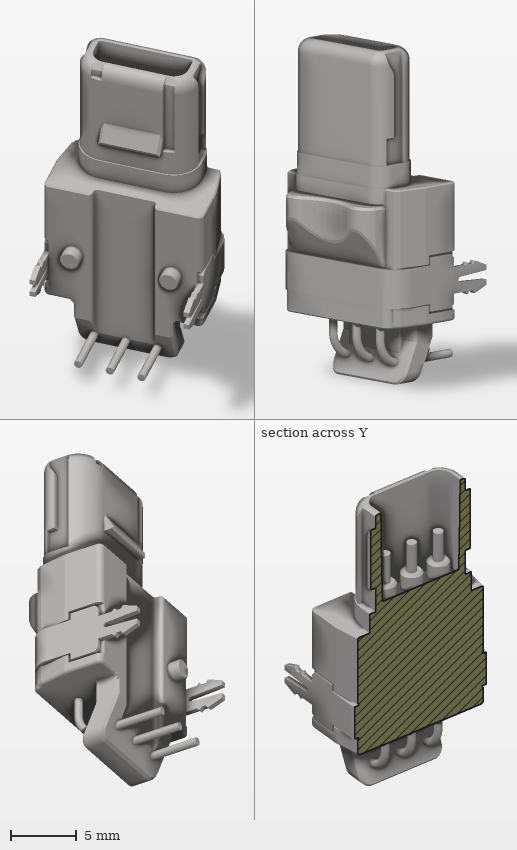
import cadquery as cq
import math

TOTAL_HEIGHT = 26.25
CLEAR = 10.0

BODY_HALF_WIDTH = 6.4
BODY_BOTTOM = 5.0
BODY_TOP = 15.74
BODY_BACK = 6.1
TAPER_START_Y = 3.3
TAPER_END_Y = 5.64
TAPER_DEPTH = 0.4
BACK_CORNER = 0.25
FRONT_CORNER_RADIUS = 0.45
TOP_CHAMFER = 0.1
BOTTOM_RADIUS = 0.25
LOWER_BACK_Y = 6.67
LOWER_BACK_HALF_WIDTH = 5.6
LOWER_BACK_CORNER = 0.6

CHANNEL_HALF_WIDTH = 2.5
CHANNEL_DEPTH = 0.75
CHANNEL_RADIUS = 0.27

LEG_HALF_WIDTH = 3.98
LEG_THICKNESS = 2.07
LEG_FRONT_KINK_Z = 3.4
LEG_BACK_KINK_Z = 3.25
LEG_TIP_FRONT_Y = 1.56
LEG_CORNER_RADIUS = 0.95
LEG_FLARE_RADIUS = 0.22
LEG_EDGE_CHAMFER = 0.2
LEG_RIB_HALF_WIDTH = 2.78
LEG_RIB_BACK = 2.52
LEG_RIB_BOTTOM = 1.9
LEG_RIB_RADIUS = 0.15

HOOD_HALF_WIDTH = 4.8
HOOD_FRONT = 2.21
HOOD_BACK = 6.6
HOOD_FRONT_RADIUS = 2.18
HOOD_BACK_RADIUS = 1.15
COLLAR_TOP = 17.46
COLLAR_OFFSET = 0.09
SKIRT_OFFSET = 0.15
SKIRT_BOTTOM = 14.55
CROWN_HEIGHT = 1.0
CROWN_INSET = 0.75
CAVITY_HALF_WIDTH = 3.8
CAVITY_FRONT = 3.25
CAVITY_BACK = 5.62
CAVITY_FRONT_RADIUS = 1.15
CAVITY_BACK_RADIUS = 0.2
CAVITY_DRAFT = 0.75

KEYWAY_INNER_X = 2.46
KEYWAY_OUTER_X = 3.36
KEYWAY_FLOOR_Y = 2.62
KEYWAY_BOTTOM = 19.6
KEYWAY_RIM_Y = 3.03
KEYWAY_RIM_DROP = 0.42
RECESS_FLOOR_X = 4.33
RECESS_FRONT = 3.93
RECESS_BACK = 5.14
RECESS_WIDE_BACK = 5.9
RECESS_TOP_BACK = 5.75
RECESS_FLARE_START = 24.2
RECESS_FLARE_END = 25.75

LATCH_HALF_WIDTH = 2.46
LATCH_BOTTOM = 19.6
LATCH_NOSE_Z = 19.85
LATCH_TOP = 21.16
LATCH_NOSE_Y = 1.42
LATCH_NOSE_SETBACK = 0.11
LATCH_BEVEL = 0.22

HORN_X = 3.35
HORN_Y = 6.56
HORN_RADIUS = 1.5
HORN_JOIN_X = 2.66
HORN_FLANK_Y = 7.1
SADDLE_Y = 7.18
THUMB_TOP = 14.4
THUMB_RAMP_TOP = 12.6
THUMB_RAMP_BOTTOM = 9.66
THUMB_RAMP_FOOT_Y = 6.25
THUMB_CHAMFER = 0.2
THUMB_RAMP_CHAMFER = 0.13

CLIP_THICKNESS = 0.45
CLIP_MID_Z = 8.1
BAND_BACK = 6.68
BAND_HALF_HEIGHT = 1.48
BAND_CORNER_RADIUS = 1.72
PLATE_REAR = 2.74
PLATE_FRONT = 0.3
PLATE_HALF_HEIGHT = 2.08
PLATE_CORNER = 0.3
PRONG_HALF_HEIGHT = 1.02
PRONG_TIP_Y = -3.18
BUMP_START_Y = -0.95
BUMP_CREST_Y = -1.15
BUMP_END_Y = -1.4
BUMP_HALF_HEIGHT = 1.24
BARB_START_Y = -1.75
BARB_CREST_Y = -1.93
BARB_HALF_HEIGHT = 1.27
TIP_OUTER_HEIGHT = 0.79
TIP_INNER_HEIGHT = 0.36
SLOT_END_Y = -0.2
SLOT_HALF_HEIGHT = 0.2
SLOT_END_CHAMFER = 0.1
POCKET_REAR = 2.97
POCKET_HALF_HEIGHT = 2.3
BAND_POCKET_HALF_HEIGHT = 1.6

CONTACT_PITCH = 2.54
CONTACT_COUNT = 3
CONTACT_Y = 4.4
TAIL_RADIUS = 0.325
TAIL_Z = 1.53
TAIL_BEND_RADIUS = 2.03
TAIL_END_Y = -3.1
CONTACT_BASE_RADIUS = 0.9
CONTACT_SHOULDER_RADIUS = 0.73
CONTACT_TIP_RADIUS = 0.41
CONTACT_BASE_HEIGHT = 1.5
CONTACT_TIP_Z = 21.5
PEG_X = 3.98
PEG_Z = 9.6
PEG_RADIUS = 0.75
PEG_LENGTH = 0.97
PEG_CHAMFER = 0.06


def box(x0, x1, y0, y1, z0, z1):
    """Axis-aligned box between two opposite corners."""
    return cq.Workplane("XY").box(x1 - x0, y1 - y0, z1 - z0, centered=False).translate((x0, y0, z0))


def side_prism(points, x0, x1):
    """Prism with a (Y, Z) outline, reaching from x0 to x1."""
    return cq.Workplane("YZ").workplane(offset=x0).polyline(points).close().extrude(x1 - x0)


def mirrored(shape):
    """The shape together with its mirror image across X = 0."""
    return shape.union(shape.mirror("YZ"))


def rounded_prism(half_width, front, back, front_radius, back_radius, z0, z1):
    """Upright prism with separate corner radii at its front and back."""
    prism = box(-half_width, half_width, front, back, z0, z1)
    prism = prism.edges("|Z and <Y").fillet(front_radius)
    return prism.edges("|Z and >Y").fillet(back_radius)


def hood_prism(offset, z0, z1):
    """Prism on the hood outline grown outward by an offset."""
    return rounded_prism(
        HOOD_HALF_WIDTH + offset, HOOD_FRONT - offset, HOOD_BACK + offset,
        HOOD_FRONT_RADIUS + offset, HOOD_BACK_RADIUS + offset, z0, z1,
    )


def housing():
    taper_x = BODY_HALF_WIDTH - TAPER_DEPTH
    half_outline = [
        (BODY_HALF_WIDTH, 0),
        (BODY_HALF_WIDTH, TAPER_START_Y),
        (taper_x, TAPER_END_Y),
        (taper_x - BACK_CORNER, BODY_BACK),
    ]
    outline = half_outline + [(-x, y) for x, y in reversed(half_outline)]
    body = cq.Workplane("XY").workplane(offset=BODY_BOTTOM).polyline(outline).close()
    body = body.extrude(BODY_TOP - BODY_BOTTOM)
    body = body.edges("|Z and <Y").fillet(FRONT_CORNER_RADIUS)
    body = body.faces(">Z").edges().chamfer(TOP_CHAMFER)
    body = body.faces("<Z").edges("not <Y").fillet(BOTTOM_RADIUS)
    lower_back = box(
        -LOWER_BACK_HALF_WIDTH, LOWER_BACK_HALF_WIDTH, TAPER_START_Y, LOWER_BACK_Y, BODY_BOTTOM, CLIP_MID_Z,
    )
    lower_back = lower_back.edges("|Z and >Y").fillet(LOWER_BACK_CORNER)
    lower_back = lower_back.faces("<Z").edges(">Y").chamfer(TOP_CHAMFER)
    return body.union(lower_back)


def leg():
    slope = LEG_TIP_FRONT_Y / LEG_FRONT_KINK_Z
    top = BODY_BOTTOM + BOTTOM_RADIUS
    profile = [
        (0, top),
        (0, LEG_FRONT_KINK_Z),
        (LEG_TIP_FRONT_Y, 0),
        (LEG_THICKNESS + slope * LEG_BACK_KINK_Z, 0),
        (LEG_THICKNESS, LEG_BACK_KINK_Z),
        (LEG_THICKNESS, top),
    ]
    bent = side_prism(profile, -LEG_HALF_WIDTH, LEG_HALF_WIDTH)
    envelope = box(-LEG_HALF_WIDTH, LEG_HALF_WIDTH, -CLEAR, CLEAR, 0, top)
    bent = bent.intersect(envelope.edges("|Y and <Z").fillet(LEG_CORNER_RADIUS))
    slope_middle_y = LEG_TIP_FRONT_Y / 2
    slope_middle_z = LEG_FRONT_KINK_Z / 2
    front_slope = cq.selectors.NearestToPointSelector((0, slope_middle_y, slope_middle_z))
    back_slope = cq.selectors.NearestToPointSelector((0, slope_middle_y + LEG_THICKNESS, slope_middle_z))
    rim = bent.edges("|Z")
    rim = rim.add(bent.faces(front_slope).edges("not >Z")).add(bent.faces(back_slope).edges("not >Z"))
    bent = rim.chamfer(LEG_EDGE_CHAMFER)
    rib = box(-LEG_RIB_HALF_WIDTH, LEG_RIB_HALF_WIDTH, CHANNEL_DEPTH, LEG_RIB_BACK, LEG_RIB_BOTTOM, top)
    rib = rib.edges("|Z and >Y").fillet(LEG_RIB_RADIUS)
    flare_z = BODY_BOTTOM - LEG_FLARE_RADIUS
    flare_bulge = LEG_FLARE_RADIUS * (1 - math.sqrt(0.5))
    flare = (
        cq.Workplane("XZ")
        .moveTo(LEG_HALF_WIDTH, flare_z)
        .threePointArc(
            (LEG_HALF_WIDTH + flare_bulge, BODY_BOTTOM - flare_bulge),
            (LEG_HALF_WIDTH + LEG_FLARE_RADIUS, BODY_BOTTOM),
        )
        .lineTo(LEG_HALF_WIDTH + LEG_FLARE_RADIUS, top)
        .lineTo(LEG_HALF_WIDTH - LEG_FLARE_RADIUS, top)
        .lineTo(LEG_HALF_WIDTH - LEG_FLARE_RADIUS, flare_z)
        .close()
        .extrude(LEG_EDGE_CHAMFER - LEG_THICKNESS)
    )
    return bent.union(rib).union(mirrored(flare))


def front_channel():
    """Tool for the channel: rounded at the floor and flared at the mouth."""
    half = CHANNEL_HALF_WIDTH
    r = CHANNEL_RADIUS
    bulge = r * (1 - math.sqrt(0.5))
    return (
        cq.Workplane("XY")
        .moveTo(-half - r, -CLEAR)
        .lineTo(-half - r, 0)
        .threePointArc((-half - bulge, bulge), (-half, r))
        .lineTo(-half, CHANNEL_DEPTH - r)
        .threePointArc((-half + bulge, CHANNEL_DEPTH - bulge), (-half + r, CHANNEL_DEPTH))
        .lineTo(half - r, CHANNEL_DEPTH)
        .threePointArc((half - bulge, CHANNEL_DEPTH - bulge), (half, CHANNEL_DEPTH - r))
        .lineTo(half, r)
        .threePointArc((half + bulge, bulge), (half + r, 0))
        .lineTo(half + r, -CLEAR)
        .close()
        .extrude(TOTAL_HEIGHT)
    )


def hood():
    """Hollow plug hood with a rounded crown, on its collar and skirt."""
    crown_radius = (CROWN_INSET**2 + CROWN_HEIGHT**2) / (2 * CROWN_INSET)
    full_top = TOTAL_HEIGHT - CROWN_HEIGHT + crown_radius
    shell = hood_prism(0, COLLAR_TOP, full_top)
    shell = shell.faces(">Z").edges().fillet(crown_radius)
    shell = shell.cut(box(-CLEAR, CLEAR, -CLEAR, CLEAR, TOTAL_HEIGHT, full_top + CLEAR))
    shell = shell.union(hood_prism(COLLAR_OFFSET, BODY_TOP, COLLAR_TOP))
    shell = shell.union(hood_prism(SKIRT_OFFSET, SKIRT_BOTTOM, BODY_TOP))
    cavity = rounded_prism(
        CAVITY_HALF_WIDTH, CAVITY_FRONT, CAVITY_BACK,
        CAVITY_FRONT_RADIUS, CAVITY_BACK_RADIUS, COLLAR_TOP, TOTAL_HEIGHT,
    )
    cavity = cavity.faces(">Z").wires().toPending()
    cavity = cavity.extrude(COLLAR_TOP - TOTAL_HEIGHT, combine=False, taper=CAVITY_DRAFT)
    shell = shell.cut(cavity)
    return shell.cut(front_keyways()).cut(mirrored(side_recess()))


def keyway_prism(x0, x1, bottom):
    """Groove tool for the front wall that slopes back to the rim at its top."""
    profile = [
        (0, bottom),
        (KEYWAY_FLOOR_Y, bottom),
        (KEYWAY_FLOOR_Y, TOTAL_HEIGHT - KEYWAY_RIM_DROP),
        (KEYWAY_RIM_Y, TOTAL_HEIGHT),
        (0, TOTAL_HEIGHT),
    ]
    return side_prism(profile, x0, x1)


def front_keyways():
    """Long keyway on the +X side and a notch through the crown on the -X side."""
    keyway = keyway_prism(KEYWAY_INNER_X, KEYWAY_OUTER_X, KEYWAY_BOTTOM)
    notch = keyway_prism(-KEYWAY_OUTER_X, -KEYWAY_INNER_X, TOTAL_HEIGHT - CROWN_HEIGHT)
    return keyway.union(notch)


def side_recess():
    """Recess in the +X wall of the hood, stepped below and flared above."""
    outer = HOOD_HALF_WIDTH + CLEAR
    return (
        cq.Workplane("YZ")
        .workplane(offset=RECESS_FLOOR_X)
        .moveTo(RECESS_FRONT, COLLAR_TOP)
        .lineTo(RECESS_WIDE_BACK, COLLAR_TOP)
        .lineTo(RECESS_WIDE_BACK, KEYWAY_BOTTOM)
        .lineTo(RECESS_BACK, KEYWAY_BOTTOM)
        .lineTo(RECESS_BACK, RECESS_FLARE_START)
        .spline(
            [(RECESS_TOP_BACK, RECESS_FLARE_END)],
            tangents=[(0, 1), (0, 1)],
            includeCurrent=True,
        )
        .lineTo(RECESS_TOP_BACK, TOTAL_HEIGHT)
        .lineTo(RECESS_FRONT, TOTAL_HEIGHT)
        .close()
        .extrude(outer - RECESS_FLOOR_X)
    )


def latch():
    profile = [
        (KEYWAY_FLOOR_Y, LATCH_BOTTOM),
        (LATCH_NOSE_Y + LATCH_NOSE_SETBACK, LATCH_BOTTOM),
        (LATCH_NOSE_Y, LATCH_NOSE_Z),
        (HOOD_FRONT, LATCH_TOP),
        (KEYWAY_FLOOR_Y, LATCH_TOP),
    ]
    wedge = side_prism(profile, -LATCH_HALF_WIDTH, LATCH_HALF_WIDTH)
    slanted_face = cq.selectors.NearestToPointSelector(
        (0, (LATCH_NOSE_Y + HOOD_FRONT) / 2, (LATCH_NOSE_Z + LATCH_TOP) / 2)
    )
    return wedge.faces(slanted_face).edges("<X or >X").chamfer(LATCH_BEVEL)


def thumb_rest():
    join_y = HORN_Y + math.sqrt(HORN_RADIUS**2 - (HORN_X - HORN_JOIN_X) ** 2)
    outer_x = HORN_X + HORN_RADIUS
    flank_x = HORN_X + math.sqrt(HORN_RADIUS**2 - (HORN_FLANK_Y - HORN_Y) ** 2)
    rest = (
        cq.Workplane("XY")
        .workplane(offset=THUMB_RAMP_BOTTOM)
        .moveTo(-outer_x, TAPER_END_Y)
        .lineTo(-flank_x, HORN_FLANK_Y)
        .threePointArc((-HORN_X, HORN_Y + HORN_RADIUS), (-HORN_JOIN_X, join_y))
        .threePointArc((0, SADDLE_Y), (HORN_JOIN_X, join_y))
        .threePointArc((HORN_X, HORN_Y + HORN_RADIUS), (flank_x, HORN_FLANK_Y))
        .lineTo(outer_x, TAPER_END_Y)
        .close()
        .extrude(THUMB_TOP - THUMB_RAMP_BOTTOM)
    )
    rest = rest.faces(">Z").edges("not <Y").chamfer(THUMB_CHAMFER)
    ramp_head_y = HORN_Y + HORN_RADIUS
    ramp = [
        (ramp_head_y, THUMB_RAMP_TOP),
        (THUMB_RAMP_FOOT_Y, THUMB_RAMP_BOTTOM),
        (ramp_head_y, THUMB_RAMP_BOTTOM),
    ]
    rest = rest.cut(side_prism(ramp, -outer_x, outer_x))
    ramp_middle = (0, (ramp_head_y + THUMB_RAMP_FOOT_Y) / 2, (THUMB_RAMP_TOP + THUMB_RAMP_BOTTOM) / 2)
    ramp_face = rest.faces(cq.selectors.NearestToPointSelector(ramp_middle))
    return ramp_face.edges("not <Z").chamfer(THUMB_RAMP_CHAMFER)


def clip_pocket():
    """Pocket on the +X flank that leaves room around the clip plate and band."""
    floor_x = BODY_HALF_WIDTH - CLIP_THICKNESS
    plate_room = box(
        floor_x, BODY_HALF_WIDTH + CLEAR, -CLEAR, POCKET_REAR,
        CLIP_MID_Z - POCKET_HALF_HEIGHT, CLIP_MID_Z + POCKET_HALF_HEIGHT,
    )
    band_room = box(
        floor_x, BODY_HALF_WIDTH + CLEAR, 0, BODY_BACK,
        CLIP_MID_Z - BAND_POCKET_HALF_HEIGHT, CLIP_MID_Z + BAND_POCKET_HALF_HEIGHT,
    )
    return plate_room.union(band_room)


def clip():
    """Band round the back of the housing with a pronged plate on each flank."""
    band = box(
        -BODY_HALF_WIDTH, BODY_HALF_WIDTH, POCKET_REAR, BAND_BACK,
        CLIP_MID_Z - BAND_HALF_HEIGHT, CLIP_MID_Z + BAND_HALF_HEIGHT,
    )
    band = band.edges("|Z and >Y").fillet(BAND_CORNER_RADIUS)
    upper_half = [
        (POCKET_REAR, BAND_HALF_HEIGHT),
        (PLATE_REAR, BAND_HALF_HEIGHT),
        (PLATE_REAR, PLATE_HALF_HEIGHT),
        (PLATE_FRONT + PLATE_CORNER, PLATE_HALF_HEIGHT),
        (PLATE_FRONT, PLATE_HALF_HEIGHT - PLATE_CORNER),
        (PLATE_FRONT, PRONG_HALF_HEIGHT),
        (BUMP_START_Y, PRONG_HALF_HEIGHT),
        (BUMP_CREST_Y, BUMP_HALF_HEIGHT),
        (BUMP_END_Y, PRONG_HALF_HEIGHT),
        (BARB_START_Y, PRONG_HALF_HEIGHT),
        (BARB_CREST_Y, BARB_HALF_HEIGHT),
        (PRONG_TIP_Y, TIP_OUTER_HEIGHT),
        (PRONG_TIP_Y, TIP_INNER_HEIGHT),
        (SLOT_END_Y - SLOT_END_CHAMFER, SLOT_HALF_HEIGHT),
        (SLOT_END_Y, SLOT_HALF_HEIGHT - SLOT_END_CHAMFER),
    ]
    upper = [(y, CLIP_MID_Z + h) for y, h in upper_half]
    lower = [(y, CLIP_MID_Z - h) for y, h in reversed(upper_half)]
    plate = side_prism(upper + lower, BODY_HALF_WIDTH - CLIP_THICKNESS, BODY_HALF_WIDTH)
    return band.union(mirrored(plate))


def contact(x):
    """One contact: stepped pin inside the hood and a bent tail below."""
    base = cq.Workplane("XY").circle(CONTACT_BASE_RADIUS).extrude(CONTACT_BASE_HEIGHT)
    base = base.faces(">Z").edges().chamfer(CONTACT_BASE_RADIUS - CONTACT_SHOULDER_RADIUS)
    tip = cq.Workplane("XY").circle(CONTACT_TIP_RADIUS).extrude(CONTACT_TIP_Z - COLLAR_TOP)
    pin = base.union(tip).translate((x, CONTACT_Y, COLLAR_TOP))
    bend_top = TAIL_Z + TAIL_BEND_RADIUS
    bend_drop = TAIL_BEND_RADIUS * (1 - math.sqrt(0.5))
    path = (
        cq.Workplane("YZ", origin=(x, 0, 0))
        .moveTo(TAIL_END_Y, TAIL_Z)
        .lineTo(CONTACT_Y - TAIL_BEND_RADIUS, TAIL_Z)
        .threePointArc((CONTACT_Y - bend_drop, TAIL_Z + bend_drop), (CONTACT_Y, bend_top))
        .lineTo(CONTACT_Y, BODY_BOTTOM + CHANNEL_DEPTH)
    )
    section = cq.Workplane("XZ", origin=(x, TAIL_END_Y, TAIL_Z)).circle(TAIL_RADIUS)
    return pin.union(section.sweep(path))


def peg():
    """Locating peg on the +X half of the mounting face."""
    blank = cq.Workplane("XZ", origin=(PEG_X, 0, PEG_Z)).circle(PEG_RADIUS).extrude(PEG_LENGTH)
    return blank.faces("<Y").edges().chamfer(PEG_CHAMFER)


result = housing().union(leg())
result = result.cut(front_channel()).cut(mirrored(clip_pocket()))
result = result.union(thumb_rest()).union(clip())
result = result.union(hood()).union(latch())
result = result.union(mirrored(peg()))
for index in range(CONTACT_COUNT):
    result = result.union(contact((index - (CONTACT_COUNT - 1) / 2) * CONTACT_PITCH))